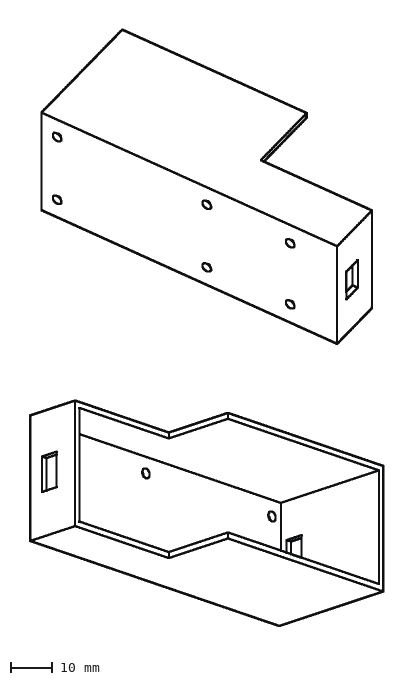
import cadquery as cq

length = 85.0
tall_depth = 35.0
height = 32.0
low_depth = 15.1
tall_length = 53.0

base_thickness = 2.0
wall = 1.5

hole_diameter = 2.5
first_pair_x = 4.5
board_hole_spacing_x = 43.0
board_hole_spacing_z = 20.5
end_pair_x = 71.5
end_hole_spacing_z = 20.0

window_width = 4.9
window_height = 9.0
window_start_y = 4.0

mid_height = height / 2


def make_body():
    """Solid L-shaped block: a tall section followed by a low one."""
    outline = [
        (0, 0),
        (length, 0),
        (length, low_depth),
        (tall_length, low_depth),
        (tall_length, tall_depth),
        (0, tall_depth),
    ]
    return cq.Workplane("XY").polyline(outline).close().extrude(height)


def make_cavity():
    """Space inside the outer walls, above the base, open along +Y."""
    return cq.Workplane("XY").box(
        length - 2 * wall, tall_depth, height - 2 * wall, centered=False
    ).translate((wall, base_thickness, wall))


def make_hole_pair(x, spacing):
    """Two screw holes through the base, placed evenly about mid height."""
    return (
        cq.Workplane("XZ", origin=(x, 0, mid_height))
        .pushPoints([(0, -spacing / 2), (0, spacing / 2)])
        .circle(hole_diameter / 2)
        .extrude(-base_thickness)
    )


def make_window():
    """Rectangular passage along X that pierces both end walls."""
    return cq.Workplane("XY").box(
        length, window_width, window_height, centered=False
    ).translate((0, window_start_y, mid_height - window_height / 2))


result = make_body().cut(make_cavity()).cut(make_window())

hole_pairs = [
    (first_pair_x, board_hole_spacing_z),
    (first_pair_x + board_hole_spacing_x, board_hole_spacing_z),
    (end_pair_x, end_hole_spacing_z),
]
for pair_x, pair_spacing in hole_pairs:
    result = result.cut(make_hole_pair(pair_x, pair_spacing))